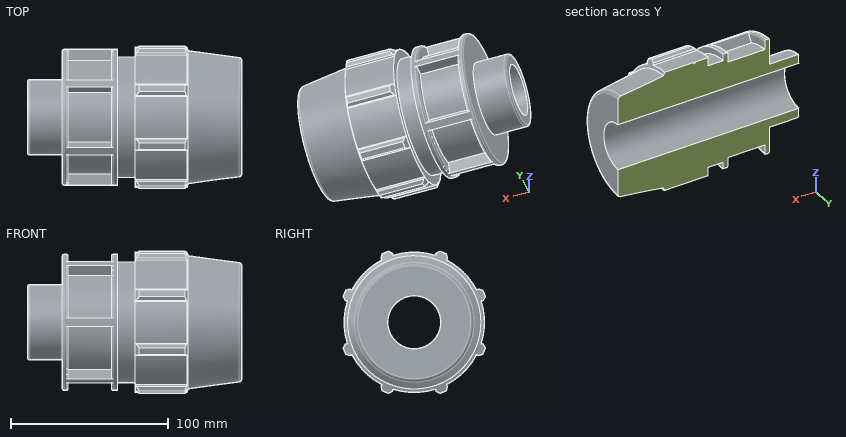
import cadquery as cq
import math

total_length = 136.0
bore_radius = 33.46 / 2
edge_round = 1.2

trim_margin = 1.0

spigot_radius = 47.8 / 2
spigot_length = 22.0

collar_radius = 86.4 / 2
collar_end = 57.1
window_floor_radius = 36.0
window_start = 25.7
window_end = 53.2
window_round = 1.1
web_count = 6
web_pitch = 360.0 / web_count
web_width = 5.2

neck_radius = 76.8 / 2

nut_start = 68.2
nut_radius = 44.6
nut_shoulder_end = 101.1
skirt_start = 101.9
skirt_start_radius = 42.3
skirt_end_radius = 37.7
skirt_round = 2.1

rib_count = 8
rib_pitch = 360.0 / rib_count
rib_first_angle = rib_pitch / 2
rib_root_radius = 40.0
rib_shoulder_radius = 45.8
rib_crest_radius = 48.0
rib_width = 7.9
rib_crest_width = 4.28
rib_bevel_base_radius = 44.9
rib_crest_start = 70.8


def disc(radius, start, end):
    """Solid cylinder about the X axis between two axial positions."""
    return cq.Workplane("YZ", origin=(start, 0, 0)).circle(radius).extrude(end - start)


def revolve_about_x(points):
    """Closed (x, radius) outline turned a full revolution about the X axis."""
    return cq.Workplane("XY").polyline(points).close().revolve(360, (0, 0, 0), (1, 0, 0))


def make_spigot():
    spigot = disc(spigot_radius, 0, collar_end)
    return spigot.faces("<X").edges().fillet(edge_round)


def make_collar():
    front_rim = disc(collar_radius, spigot_length, window_start)
    front_rim = front_rim.faces("<X").edges().fillet(edge_round)
    front_rim = front_rim.faces(">X").edges().fillet(window_round)
    rear_rim = disc(collar_radius, window_end, collar_end)
    rear_rim = rear_rim.faces("<X").edges().fillet(window_round)
    window_core = disc(window_floor_radius, spigot_length, collar_end)
    return window_core.union(front_rim).union(rear_rim).union(make_webs())


def make_webs():
    """Radial webs bridging the windows, trimmed to the collar's outer surface."""
    start = window_start - window_round
    end = window_end + window_round
    blank = cq.Workplane("XY").box(
        end - start, collar_radius + trim_margin, web_width, centered=(False, False, True)
    )
    blank = blank.translate((start, 0, 0))
    webs = cq.Workplane("XY")
    for i in range(web_count):
        webs = webs.union(blank.rotate((0, 0, 0), (1, 0, 0), i * web_pitch))
    return webs.intersect(disc(collar_radius, start, end))


def make_rib_blanks():
    """Square-ended grip ribs around the nut, rooted inside its cylinder."""
    half_width = rib_width / 2
    half_crest = rib_crest_width / 2
    blank = (
        cq.Workplane("YZ", origin=(nut_start, 0, 0))
        .polyline([
            (rib_root_radius, -half_width),
            (rib_shoulder_radius, -half_width),
            (rib_crest_radius, -half_crest),
            (rib_crest_radius, half_crest),
            (rib_shoulder_radius, half_width),
            (rib_root_radius, half_width),
        ])
        .close()
        .extrude(skirt_start - nut_start)
    )
    ribs = cq.Workplane("XY")
    for i in range(rib_count):
        ribs = ribs.union(blank.rotate((0, 0, 0), (1, 0, 0), rib_first_angle + i * rib_pitch))
    return ribs


def make_nut_envelope():
    """Turned shape that bevels the rib starts and cones off the ribs and the nut together."""
    outer_radius = math.hypot(rib_crest_radius, rib_crest_width / 2) + trim_margin
    start_slope = (rib_crest_start - nut_start) / (rib_crest_radius - rib_bevel_base_radius)
    end_slope = (skirt_start - nut_shoulder_end) / (nut_radius - skirt_start_radius)
    return revolve_about_x([
        (nut_start, 0),
        (nut_start, rib_bevel_base_radius),
        (nut_start + start_slope * (outer_radius - rib_bevel_base_radius), outer_radius),
        (nut_shoulder_end - end_slope * (outer_radius - nut_radius), outer_radius),
        (skirt_start, skirt_start_radius),
        (skirt_start, 0),
    ])


def make_nut():
    grip = disc(nut_radius, nut_start, skirt_start).union(make_rib_blanks())
    return grip.intersect(make_nut_envelope())


def make_skirt():
    skirt = revolve_about_x([
        (skirt_start, 0),
        (skirt_start, skirt_start_radius),
        (total_length, skirt_end_radius),
        (total_length, 0),
    ])
    return skirt.faces(">X").edges().fillet(skirt_round)


neck = disc(neck_radius, collar_end, nut_start)
body = make_spigot().union(make_collar()).union(neck).union(make_nut()).union(make_skirt())
result = body.cut(disc(bore_radius, 0, total_length))